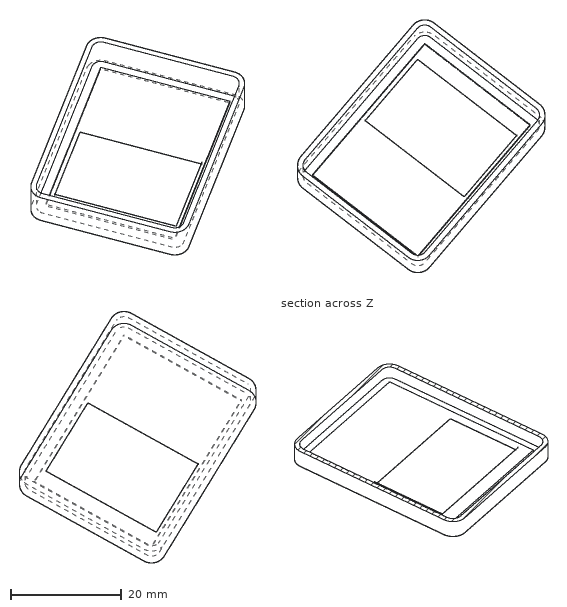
import cadquery as cq

width = 30.0
length = 37.7
height = 7.0
corner_radius = 2.7

wall = 1.0
floor_thickness = 1.0

panel_width = width - 2 * corner_radius
panel_length = length - 2 * corner_radius
panel_rise = 0.5
panel_top = floor_thickness + panel_rise

window_width = 23.2
window_length = 15.2
window_corner_radius = 0.1
window_center_y = -5.65
window_edge_radius = 0.5


def rounded_block(size_x, size_y, size_z, radius):
    """Upright block standing on Z = 0 with rounded vertical corners."""
    block = cq.Workplane("XY").box(size_x, size_y, size_z, centered=(True, True, False))
    return block.edges("|Z").fillet(radius)


def tray():
    """Rounded block hollowed from above, leaving even walls and a flat floor."""
    body = rounded_block(width, length, height, corner_radius)
    cavity = rounded_block(
        width - 2 * wall,
        length - 2 * wall,
        height - floor_thickness,
        corner_radius - wall,
    )
    return body.cut(cavity.translate((0, 0, floor_thickness)))


def add_panel(body):
    """Raise the middle of the floor by a shallow square-cornered panel."""
    panel = cq.Workplane("XY").box(panel_width, panel_length, panel_top, centered=(True, True, False))
    return body.union(panel)


def cut_window(body):
    """Cut the window with its tight corners and round over its rim above and below."""
    opening = rounded_block(window_width, window_length, panel_top, window_corner_radius)
    opened = body.cut(opening.translate((0, window_center_y, 0)))
    panel_face = opened.faces(cq.selectors.NearestToPointSelector((0, length / 4, panel_top)))
    upper_rim = panel_face.wires(cq.selectors.LengthNthSelector(0)).edges()
    lower_rim = opened.faces("<Z").wires(cq.selectors.LengthNthSelector(0)).edges()
    return opened.newObject(upper_rim.vals() + lower_rim.vals()).fillet(window_edge_radius)


result = cut_window(add_panel(tray()))